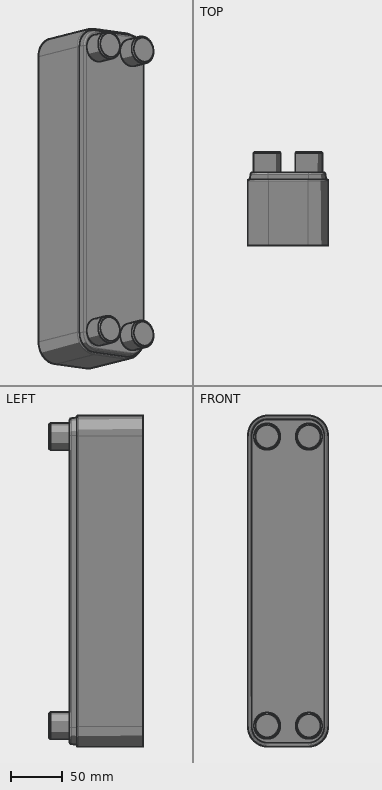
import cadquery as cq
import math

WIDTH = 77.5
DEPTH = 90.5
HEIGHT = 319.0
CORNER_RADIUS = 19.8

TAPERED_CORNER_INSET = 19.0
WALL_SLOPE = 8.0

HOUSING_BACK_ROUND = 1.3
RECESS_DEPTH = 5.7
RECESS_INSET = 3.2
RECESS_RIM_ROUND = 1.3

FRONT_PLATE_THICKNESS = 1.0
BACK_PLATE_HEIGHT = 7.0
BACK_PLATE_INSET = 2.0
BACK_PLATE_ROUND = 2.2

PORT_X = 20.0
PORT_Z = 139.0
PORT_DIAMETER = 26.5
PORT_LENGTH = 19.8
PORT_CHAMFER = 1.5
DISC_BASE_RADIUS = 12.8
DISC_TOP_RADIUS = 11.2
DISC_HEIGHT = 1.0

FRONT_Y = -DEPTH / 2
RECESS_FLOOR_Y = FRONT_Y + RECESS_DEPTH
BACK_PLATE_FACE_Y = DEPTH / 2 - PORT_LENGTH
HOUSING_BACK_Y = BACK_PLATE_FACE_Y - BACK_PLATE_HEIGHT

RECESS_FLOOR_INSET = RECESS_INSET + RECESS_DEPTH * math.tan(math.radians(WALL_SLOPE))
PORT_CENTERS = [(x, z) for x in (-PORT_X, PORT_X) for z in (-PORT_Z, PORT_Z)]


def rounded_block(start_y, length, inset, corner_inset, slope=0.0):
    """Rounded rectangle inset from the outer sides, extruded toward +Y and narrowing by the slope."""
    plane = cq.Plane(origin=(0, start_y, 0), xDir=(-1, 0, 0), normal=(0, 1, 0))
    outline = cq.Sketch().rect(WIDTH - 2 * inset, HEIGHT - 2 * inset)
    outline = outline.vertices().fillet(corner_inset - inset)
    return cq.Workplane(plane).placeSketch(outline).extrude(length, taper=slope)


def front_plate_blank():
    """Plain sheet that fills the seat in the recess floor."""
    return rounded_block(
        RECESS_FLOOR_Y, FRONT_PLATE_THICKNESS, RECESS_FLOOR_INSET, TAPERED_CORNER_INSET
    )


def make_housing():
    """Block with a rounded back edge, a tapered front recess and a seat for the front plate."""
    body = rounded_block(FRONT_Y, HOUSING_BACK_Y - FRONT_Y, 0, CORNER_RADIUS)
    body = body.faces(">Y").edges().fillet(HOUSING_BACK_ROUND)
    body = body.cut(
        rounded_block(FRONT_Y, RECESS_DEPTH, RECESS_INSET, TAPERED_CORNER_INSET, WALL_SLOPE)
    )
    recess_rim = body.faces("<Y").val().innerWires()[0]
    body = body.newObject(recess_rim.Edges()).fillet(RECESS_RIM_ROUND)
    return body.cut(front_plate_blank())


def make_front_plate():
    """Sheet on the recess floor with four raised conical discs."""
    plate = front_plate_blank()
    for x, z in PORT_CENTERS:
        disc = cq.Solid.makeCone(
            DISC_BASE_RADIUS,
            DISC_TOP_RADIUS,
            DISC_HEIGHT,
            cq.Vector(x, RECESS_FLOOR_Y, z),
            cq.Vector(0, -1, 0),
        )
        plate = plate.union(disc)
    return plate


def make_back_plate():
    """Raised plate with sloped sides and a rounded face edge."""
    plate = rounded_block(
        HOUSING_BACK_Y, BACK_PLATE_HEIGHT, BACK_PLATE_INSET, TAPERED_CORNER_INSET, WALL_SLOPE
    )
    return plate.faces(">Y").edges().fillet(BACK_PLATE_ROUND)


def make_port(x, z):
    """Cylinder standing on the back plate, chamfered at its free end."""
    base = cq.Vector(x, BACK_PLATE_FACE_Y, z)
    port = cq.Workplane(cq.Solid.makeCylinder(PORT_DIAMETER / 2, PORT_LENGTH, base, cq.Vector(0, 1, 0)))
    return port.faces(">Y").edges().chamfer(PORT_CHAMFER)


housing = make_housing()
front_plate = make_front_plate()
back_plate = make_back_plate()
ports = [make_port(x, z).val() for x, z in PORT_CENTERS]

result = cq.Compound.makeCompound([housing.val(), front_plate.val(), back_plate.val(), *ports])